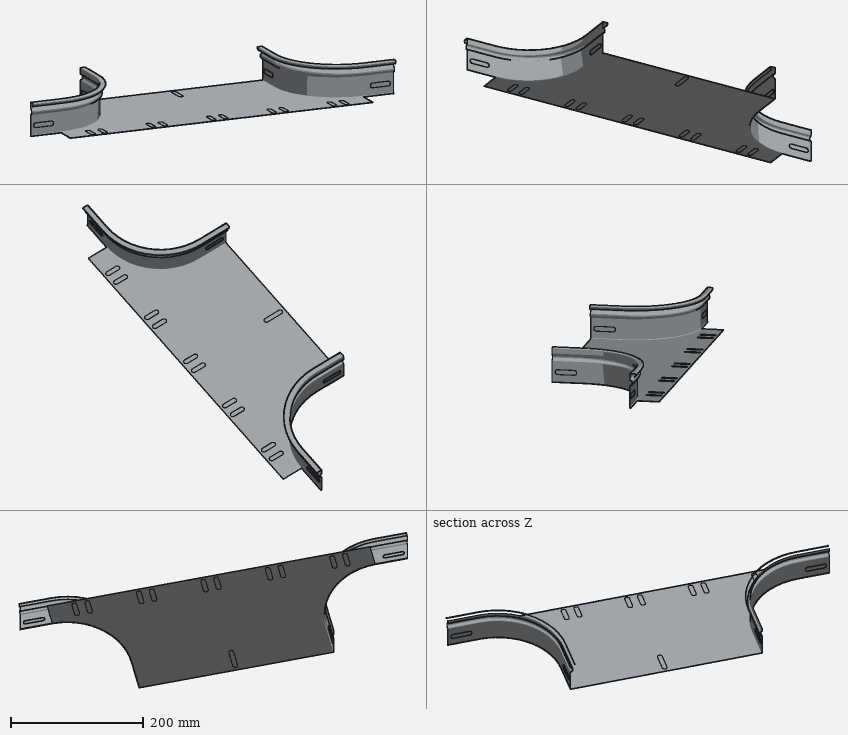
import cadquery as cq
import math


sheet = 1.0
wall_height = 54.1
plate_length_x = 185.0
corner_radius = 99.0
straight_length = 50.0
branch_half_width = 151.5
foot_radius = 2.0
rim_radius = 2.0
rim_width = 10.0
lip_bend_radius = 2.0
lip_length = 3.5
lip_tilt = 30.0

groove_height = 39.0
groove_radius = 4.0
groove_blend_radius = 3.0

slot_width = 7.5
slot_depth = 0.2
long_slot_length = 33.0
long_slot_setback = 21.5
wall_slot_height = 16.6
short_slot_length = 24.5
short_slot_setback = 16.3
slot_pair_spacing = 20.0
slot_pair_pitch = 100.0
slot_pair_count = 5

curve_center_x = straight_length
curve_center_y = branch_half_width + corner_radius
through_wall_x = straight_length + corner_radius
leg_end_y = curve_center_y + straight_length


def arc_point(center, radius, degrees):
    angle = math.radians(degrees)
    return (center[0] + radius * math.cos(angle), center[1] + radius * math.sin(angle))


def face_segments(depth):
    """Segments of a sheet face, lying depth inside the outer face, from foot to lip.

    Points are (inward distance from the outer wall face, height). Each segment is
    (end point,) for a line or (mid point, end point) for an arc.
    """
    foot = (foot_radius, foot_radius)
    rim = (rim_radius, wall_height - rim_radius)
    lip = (rim_width - lip_bend_radius, wall_height - lip_bend_radius)
    groove = (0, groove_height)
    blend_reach = math.sqrt((groove_radius + groove_blend_radius) ** 2 - groove_blend_radius ** 2)
    lower_blend = (groove_blend_radius, groove_height - blend_reach)
    upper_blend = (groove_blend_radius, groove_height + blend_reach)
    tangent_angle = math.degrees(math.atan2(blend_reach, groove_blend_radius))

    foot_bend = foot_radius - depth
    rim_bend = rim_radius - depth
    lip_bend = lip_bend_radius - depth
    blend = groove_blend_radius - depth
    bulge = groove_radius + depth
    blend_end = 180 - tangent_angle
    blend_mid = (180 + blend_end) / 2
    lip_root = arc_point(lip, lip_bend, -lip_tilt)

    start = arc_point(foot, foot_bend, 270)
    segments = [
        (arc_point(foot, foot_bend, 225), arc_point(foot, foot_bend, 180)),
        (arc_point(lower_blend, blend, 180),),
        (arc_point(lower_blend, blend, blend_mid), arc_point(lower_blend, blend, blend_end)),
        (arc_point(groove, bulge, 0), arc_point(groove, bulge, tangent_angle)),
        (arc_point(upper_blend, blend, -blend_mid), arc_point(upper_blend, blend, 180)),
        (arc_point(rim, rim_bend, 180),),
        (arc_point(rim, rim_bend, 135), arc_point(rim, rim_bend, 90)),
        (arc_point(lip, lip_bend, 90),),
        (arc_point(lip, lip_bend, (90 - lip_tilt) / 2), lip_root),
        (arc_point(lip_root, lip_length, -90 - lip_tilt),),
    ]
    return start, segments


def add_segment(sketch, mid_points, end):
    if mid_points:
        return sketch.threePointArc(mid_points[0], end)
    return sketch.lineTo(*end)


def wall_profile(plane):
    """Closed wall section: up the outer face and back down the inner face."""
    outer_start, outer = face_segments(0)
    inner_start, inner = face_segments(sheet)

    sketch = cq.Workplane(plane).moveTo(*outer_start)
    for segment in outer:
        sketch = add_segment(sketch, segment[:-1], segment[-1])

    sketch = sketch.lineTo(*inner[-1][-1])
    inner_ends = [inner_start] + [segment[-1] for segment in inner]
    for index in reversed(range(len(inner))):
        sketch = add_segment(sketch, inner[index][:-1], inner_ends[index])
    return sketch.close()


def make_wall():
    """Side wall on the +Y side: branch run, quarter curve, then run along Y."""
    branch_plane = cq.Plane(origin=(curve_center_x, branch_half_width, 0), xDir=(0, -1, 0), normal=(-1, 0, 0))
    leg_plane = cq.Plane(origin=(through_wall_x, curve_center_y, 0), xDir=(1, 0, 0), normal=(0, -1, 0))

    branch_run = wall_profile(branch_plane).extrude(straight_length)
    leg_run = wall_profile(leg_plane).extrude(-straight_length)
    curve = wall_profile(leg_plane).revolve(90, (-corner_radius, 0, 0), (-corner_radius, -1, 0))
    return branch_run.union(curve).union(leg_run)


def make_plate():
    """Flat floor, stopping where the foot bends of the walls begin."""
    edge_y = branch_half_width - foot_radius
    edge_x = through_wall_x + foot_radius
    curve_mid = arc_point((curve_center_x, curve_center_y), corner_radius + foot_radius, -45)
    return (
        cq.Workplane("XY")
        .moveTo(0, -edge_y)
        .lineTo(curve_center_x, -edge_y)
        .threePointArc((curve_mid[0], -curve_mid[1]), (edge_x, -curve_center_y))
        .lineTo(plate_length_x, -curve_center_y)
        .lineTo(plate_length_x, curve_center_y)
        .lineTo(edge_x, curve_center_y)
        .threePointArc(curve_mid, (curve_center_x, edge_y))
        .lineTo(0, edge_y)
        .close()
        .extrude(sheet)
    )


def slot_blocks(plane, points, length):
    """Slot-shaped cutters, sunk slot_depth to both sides of the given plane."""
    return cq.Workplane(plane).pushPoints(points).slot2D(length, slot_width).extrude(slot_depth, both=True)


def plate_slots():
    """Marks in the upper face of the floor: pairs along the rear edge, one at the branch."""
    rear_points = []
    for pair in range(slot_pair_count):
        pair_y = (pair - (slot_pair_count - 1) / 2) * slot_pair_pitch
        for side in (-1, 1):
            rear_points.append((plate_length_x - short_slot_setback, pair_y + side * slot_pair_spacing / 2))
    upper_face = cq.Plane(origin=(0, 0, sheet))
    rear = slot_blocks(upper_face, rear_points, short_slot_length)
    branch = slot_blocks(upper_face, [(long_slot_setback, 0)], long_slot_length)
    return rear.union(branch)


def wall_slots():
    """Marks in both faces of the +Y wall, one near each free end."""
    cutters = cq.Workplane()
    for depth in (0, sheet):
        branch_face = cq.Plane(origin=(0, branch_half_width - depth, 0), xDir=(1, 0, 0), normal=(0, -1, 0))
        leg_face = cq.Plane(origin=(through_wall_x + depth, 0, 0), xDir=(0, 1, 0), normal=(1, 0, 0))
        branch_point = (long_slot_setback, wall_slot_height)
        leg_point = (leg_end_y - long_slot_setback, wall_slot_height)
        cutters = cutters.add(slot_blocks(branch_face, [branch_point], long_slot_length))
        cutters = cutters.add(slot_blocks(leg_face, [leg_point], long_slot_length))
    return cutters.combine()


wall = make_wall().cut(wall_slots())
plate = make_plate().cut(plate_slots())
result = plate.union(wall).union(wall.mirror("XZ"))